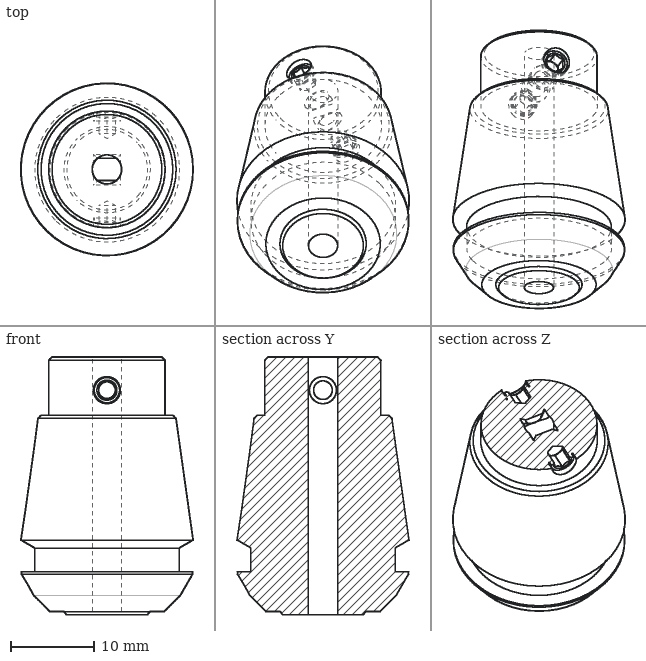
import cadquery as cq
import math

total_height = 31.0
shoulder_z = 24.0
taper_base_z = 9.0
flange_top_z = 5.2
flange_rim_z = 4.9
nose_break_z = 2.35
nose_end_z = 0.4

shank_diameter = 14.0
taper_base_diameter = 20.73
groove_diameter = 17.4
flange_diameter = 20.6
bore_diameter = 3.5
boss_tip_diameter = 9.7
boss_chamfer_angle = 40.0

edge_chamfer = 0.4
taper_angle = 8.0
groove_flank_angle = 30.0
nose_upper_angle = 30.0
nose_lower_angle = 45.0

screw_z = 27.0
screw_diameter = 3.24
screw_length = 5.0
screw_tip_gap = 2.64
screw_tip_chamfer = 0.5
screw_head_diameter = 3.04
screw_head_length = 0.5
hex_across_flats = 2.0
hex_half_angle = 30.0
hex_depth = 2.0
socket_mouth_diameter = 2.4
socket_tip_half_angle = 60.0


def taper_offset(length, angle):
    """Sideways change over a length for a slope given in degrees."""
    return length * math.tan(math.radians(angle))


def make_body():
    shank_radius = shank_diameter / 2
    taper_base_radius = taper_base_diameter / 2
    groove_radius = groove_diameter / 2
    flange_radius = flange_diameter / 2
    boss_tip_radius = boss_tip_diameter / 2

    taper_top_z = shoulder_z - edge_chamfer
    taper_top_radius = taper_base_radius - taper_offset(taper_top_z - taper_base_z, taper_angle)
    groove_top_z = taper_base_z - taper_offset(taper_base_radius - groove_radius, groove_flank_angle)
    nose_break_radius = flange_radius - taper_offset(flange_rim_z - nose_break_z, nose_upper_angle)
    nose_end_radius = nose_break_radius - taper_offset(nose_break_z - nose_end_z, nose_lower_angle)
    boss_base_radius = boss_tip_radius + taper_offset(nose_end_z, boss_chamfer_angle)

    profile = [
        (0, 0),
        (boss_tip_radius, 0),
        (boss_base_radius, nose_end_z),
        (nose_end_radius, nose_end_z),
        (nose_break_radius, nose_break_z),
        (flange_radius, flange_rim_z),
        (flange_radius, flange_top_z),
        (groove_radius, flange_top_z),
        (groove_radius, groove_top_z),
        (taper_base_radius, taper_base_z),
        (taper_top_radius, taper_top_z),
        (taper_top_radius - edge_chamfer, shoulder_z),
        (shank_radius, shoulder_z),
        (shank_radius, total_height - edge_chamfer),
        (shank_radius - edge_chamfer, total_height),
        (0, total_height),
    ]
    body = cq.Workplane("XZ").polyline(profile).close().revolve(360, (0, 0), (0, 1))
    bore = cq.Workplane("XY").circle(bore_diameter / 2).extrude(total_height)
    return body.cut(bore)


def make_screw_hole():
    """Radial hole through the whole shank, for both screws."""
    hole = cq.Workplane("XZ").circle(screw_diameter / 2).extrude(shank_diameter, both=True)
    return hole.translate((0, 0, screw_z))


def make_socket():
    """Hex socket on the Y axis: mouth at Y = 0, going toward +Y, with a conical drill point."""
    hex_across_corners = hex_across_flats / math.cos(math.radians(hex_half_angle))
    hexagon = cq.Workplane("XZ").polygon(6, hex_across_corners).extrude(-hex_depth)
    hexagon = hexagon.rotate((0, 0, 0), (0, 1, 0), hex_half_angle)

    tip_radius = hex_across_flats / 2
    tip_depth = tip_radius / math.tan(math.radians(socket_tip_half_angle))
    drill_point = (
        cq.Workplane("XY")
        .polyline([(0, hex_depth), (tip_radius, hex_depth), (0, hex_depth + tip_depth)])
        .close()
        .revolve(360, (0, 0), (0, 1))
    )

    mouth_radius = socket_mouth_diameter / 2
    countersink = (
        cq.Workplane("XY")
        .polyline([(0, 0), (mouth_radius, 0), (0, mouth_radius)])
        .close()
        .revolve(360, (0, 0), (0, 1))
    )
    return hexagon.union(drill_point).union(countersink)


def make_screw():
    """Set screw on the -Y side: narrow head end outside, chamfered flat point facing the bore."""
    screw = cq.Workplane("XZ").circle(screw_diameter / 2).extrude(-screw_length)
    screw = screw.faces(">Y").chamfer(screw_tip_chamfer)
    head_clearance = (
        cq.Workplane("XZ")
        .circle(screw_diameter / 2)
        .circle(screw_head_diameter / 2)
        .extrude(-screw_head_length)
    )
    screw = screw.cut(head_clearance)
    screw = screw.cut(make_socket())
    head_y = -(screw_tip_gap / 2 + screw_length)
    return screw.translate((0, head_y, screw_z))


front_screw = make_screw()
back_screw = front_screw.mirror("XZ")
result = make_body().cut(make_screw_hole()).union(front_screw).union(back_screw)